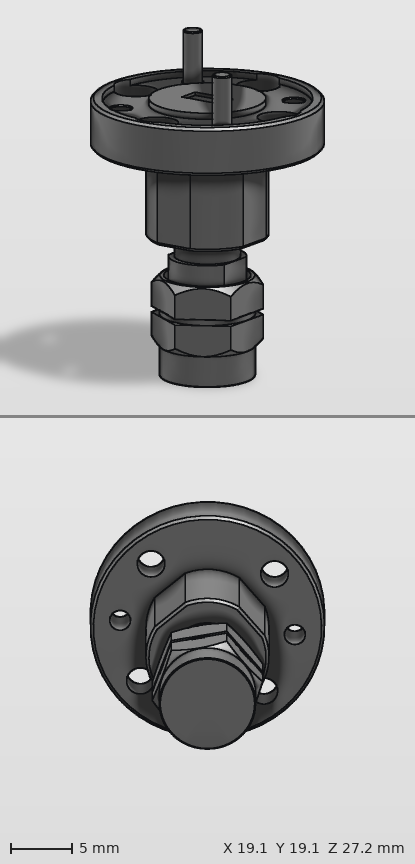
import cadquery as cq
import math


total_height = 27.22
rim_z = 23.35
flange_bottom_z = 19.33
barrel_bottom_z = 11.7
wrench_top_z = 10.07
nut_height = 8.45
upper_hex_bottom_z = 5.72
lower_hex_top_z = 5.23
lower_hex_bottom_z = 2.53

flange_radius = 9.53
edge_chamfer = 0.25
face_recess_radius = 8.57
face_recess_depth = 0.52
face_z = rim_z - face_recess_depth
boss_radius = 4.75
slot_length = 3.75
slot_width = 1.88
slot_depth = 0.27
bolt_circle_radius = 7.13
screw_hole_radius = 1.12
screw_counterbore_radius = 1.77
screw_counterbore_depth = 0.9
guide_hole_radius = 0.85
countersink = 0.1
pin_radius = 0.8
pin_chamfer = 0.1

barrel_radius = 5.0
barrel_across_flats = 9.47

collar_radius = 3.0
collar_height = 0.25
collar_chamfer = 0.15
neck_radius = 2.7
wrench_radius = 3.18
wrench_across_flats = 5.55

hex_across_flats = 7.92
hex_corner_diameter = hex_across_flats / math.cos(math.pi / 6)
hex_end_radius = 3.87
sleeve_radius = 3.92
sleeve_chamfer = 0.08
nut_bore_radius = 3.55
nut_bore_floor_z = lower_hex_top_z


def cylinder(radius, bottom, top):
    """Solid cylinder on the Z axis."""
    return cq.Workplane("XY").workplane(offset=bottom).circle(radius).extrude(top - bottom)


def around_bolt_circle(angles):
    """Points on the bolt circle at the given angles in degrees."""
    return [
        (
            bolt_circle_radius * math.cos(math.radians(angle)),
            bolt_circle_radius * math.sin(math.radians(angle)),
        )
        for angle in angles
    ]


def countersink_cutter(point, hole_radius):
    """Cone that breaks the edge of a hole in the recessed face by 45 degrees."""
    return cq.Workplane(
        cq.Solid.makeCone(
            hole_radius,
            hole_radius + countersink,
            countersink,
            pnt=cq.Vector(point[0], point[1], face_z - countersink),
        )
    )


def make_barrel():
    """Chamfered barrel with four flats facing +X, -X, +Y and -Y."""
    barrel = cylinder(barrel_radius, barrel_bottom_z, flange_bottom_z)
    flats = (
        cq.Workplane("XY")
        .workplane(offset=barrel_bottom_z)
        .rect(barrel_across_flats, barrel_across_flats)
        .extrude(flange_bottom_z - barrel_bottom_z)
    )
    return barrel.intersect(flats).faces("<Z").chamfer(edge_chamfer)


def make_flange():
    """Flange, barrel and the two alignment pins as one solid."""
    disc = cylinder(flange_radius, flange_bottom_z, rim_z).edges().chamfer(edge_chamfer)
    recess = cylinder(face_recess_radius, face_z, rim_z).cut(cylinder(boss_radius, face_z, rim_z))
    slot = (
        cq.Workplane("XY")
        .workplane(offset=rim_z - slot_depth)
        .rect(slot_length, slot_width)
        .extrude(slot_depth)
    )
    flange = disc.cut(recess).cut(slot)

    for x, y in around_bolt_circle([0, 90, 180, 270]):
        hole = cylinder(screw_hole_radius, flange_bottom_z, rim_z)
        counterbore = cylinder(screw_counterbore_radius, face_z - screw_counterbore_depth, rim_z)
        flange = flange.cut(hole.union(counterbore).translate((x, y, 0)))

    for x, y in around_bolt_circle([45, 225]):
        hole = cylinder(guide_hole_radius, flange_bottom_z, rim_z).translate((x, y, 0))
        flange = flange.cut(hole).cut(countersink_cutter((x, y), guide_hole_radius))

    for x, y in around_bolt_circle([135, 315]):
        pin = cylinder(pin_radius, face_z - countersink, total_height).faces(">Z").chamfer(pin_chamfer)
        flange = flange.cut(countersink_cutter((x, y), pin_radius))
        flange = flange.union(pin.translate((x, y, 0)))

    return flange.union(make_barrel())


def make_connector():
    """Connector shank: collar against the barrel, neck, and wrench flats facing +X and -X."""
    collar_bottom_z = barrel_bottom_z - collar_height
    collar = cylinder(collar_radius, collar_bottom_z, barrel_bottom_z)
    collar = collar.faces("<Z").chamfer(collar_chamfer)
    neck = cylinder(neck_radius, wrench_top_z, collar_bottom_z)
    flats = (
        cq.Workplane("XY")
        .workplane(offset=nut_bore_floor_z)
        .rect(wrench_across_flats, 2 * wrench_radius)
        .extrude(wrench_top_z - nut_bore_floor_z)
    )
    shank = cylinder(wrench_radius, nut_bore_floor_z, wrench_top_z).intersect(flats)
    return shank.union(neck).union(collar)


def hex_section(bottom, top, chamfered_end):
    """Hexagon with corners on the Y axis and one end ("<Z" or ">Z") turned to a 45 degree cone."""
    height = top - bottom
    corner_radius = hex_corner_diameter / 2
    prism = (
        cq.Workplane("XY")
        .workplane(offset=bottom)
        .transformed(rotate=(0, 0, 90))
        .polygon(6, hex_corner_diameter)
        .extrude(height)
    )
    envelope = cylinder(corner_radius, bottom, top)
    envelope = envelope.faces(chamfered_end).chamfer(corner_radius - hex_end_radius)
    return prism.intersect(envelope)


def make_nut():
    """Coupling nut: two hexagons on a round sleeve, with a bore for the connector."""
    sleeve = cylinder(sleeve_radius, 0, upper_hex_bottom_z).faces("<Z").chamfer(sleeve_chamfer)
    lower_hex = hex_section(lower_hex_bottom_z, lower_hex_top_z, "<Z")
    upper_hex = hex_section(upper_hex_bottom_z, nut_height, ">Z")
    bore = cylinder(nut_bore_radius, nut_bore_floor_z, nut_height)
    return sleeve.union(lower_hex).union(upper_hex).cut(bore)


flange = make_flange()
connector = make_connector()
nut = make_nut()

result = cq.Compound.makeCompound([flange.solids().val(), connector.solids().val(), nut.solids().val()])